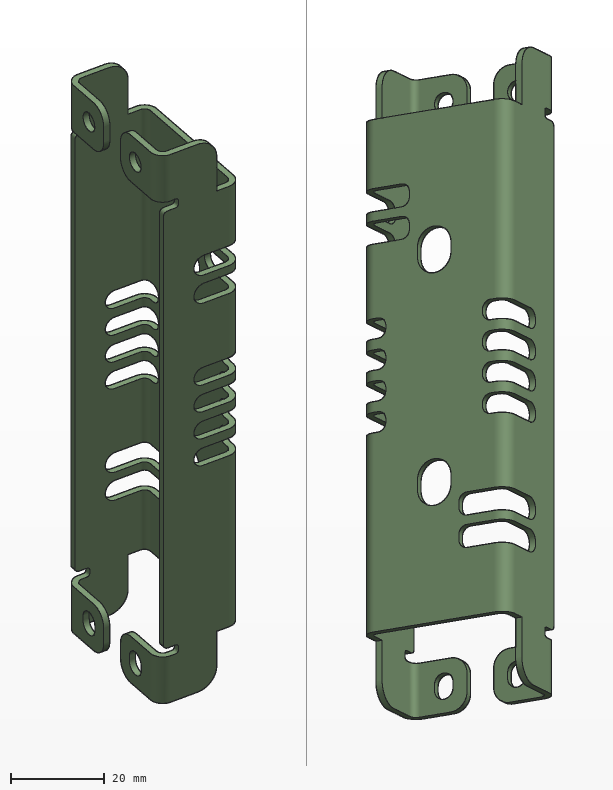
import cadquery as cq

length = 142.0
width = 36.0
depth = 21.2
sheet = 1.5
bend_radius = 3.1

tab_height = 12.0
tab_gap = 6.5
tab_corner = 4.0
hole_spacing = 18.0
hole_diameter = 4.5
end_slot_height = 5.8

back_length = 114.2
ear_step = 6.2
ear_corner = 5.0
relief_width = 2.3
relief_corner = 0.7
relief_depth = 5.1
lip_setback = 1.3
lip_corner = 1.1

window_width = 8.2
window_height = 10.4
window_spacing = 51.8

slot_depth_on_wall = 12.0
slot_corner = 2.0
short_slot_height = 4.5
short_slot_reach = 6.1
short_slot_pitch = 7.0
short_slot_count = 4
long_slot_height = 5.1
long_slot_reach = 11.9
long_slot_pitch = 7.2
long_slot_count = 2
long_slot_offset = 35.5

half_length = length / 2
half_width = width / 2
half_back = back_length / 2
tab_edge = half_length - tab_height
tab_centre = half_length - tab_height / 2
over = 1.4
margin = 0.1


def box(x_min, x_max, y_min, y_max, z_min, z_max):
    """Box given by its limits; the front of the part lies at Y = -depth."""
    block = cq.Workplane("XY").box(x_max - x_min, y_max - y_min, z_max - z_min, centered=False)
    return block.translate((x_min, y_min, z_min))


def edges_within(y_min, y_max, x_reach, z_reach):
    """Selector for edges in a region centred in X and Z."""
    low = (-x_reach - margin, y_min - margin, -z_reach - margin)
    high = (x_reach + margin, y_max + margin, z_reach + margin)
    return cq.selectors.BoxSelector(low, high)


def at_both_ends(cutter):
    """Cutter at the top end together with its mirror image at the bottom end."""
    return cutter.union(cutter.mirror("XY"))


def bent_tube():
    """Full-length rectangular tube with all four bends rounded."""
    outer = box(-half_width, half_width, -depth, 0, -half_length, half_length)
    outer = outer.edges("|Z").fillet(bend_radius)
    inner = box(sheet - half_width, half_width - sheet, sheet - depth, -sheet, -half_length, half_length)
    return outer.cut(inner.edges("|Z").fillet(bend_radius - sheet))


def open_channel():
    """U channel between the tabs, with straight walls up to its open edges."""
    edge = lip_setback - depth
    outer = box(-half_width, half_width, edge, 0, -tab_edge, tab_edge)
    outer = outer.edges("|Z and >Y").fillet(bend_radius)
    inner = box(sheet - half_width, half_width - sheet, edge, -sheet, -tab_edge, tab_edge)
    return outer.cut(inner.edges("|Z and >Y").fillet(bend_radius - sheet))


def tab_ends():
    """Both end stretches of the tube, split at the front into rounded tabs."""
    ends = bent_tube().cut(box(-half_width, half_width, -depth, 0, -tab_edge, tab_edge))
    half_gap = tab_gap / 2
    ends = ends.cut(box(-half_gap, half_gap, -depth, sheet - depth, -half_length, half_length))
    corners = edges_within(-depth, sheet - depth, half_gap, half_length)
    return ends.edges(corners).edges("|Y").fillet(tab_corner)


def side_outline():
    """Solid across the full width with the outline of the side walls."""
    body = box(-half_width, half_width, -depth, 0, -half_length, half_length)

    rear_step = box(-half_width, half_width, -ear_step, 0, half_back, half_length)
    body = body.cut(at_both_ends(rear_step))
    ear_edges = edges_within(-ear_step, -ear_step, half_width, half_length)
    body = body.edges(ear_edges).edges("|X").edges("<Z or >Z").fillet(ear_corner)

    channel_edge = tab_edge - relief_width
    lip = lip_setback - depth
    body = body.cut(box(-half_width, half_width, -depth, lip, -tab_edge, tab_edge))
    relief = box(-half_width, half_width, -depth - over, relief_depth - depth, channel_edge, tab_edge)
    relief = relief.edges("|X and >Y").fillet(relief_corner)
    body = body.cut(at_both_ends(relief))
    lip_edges = edges_within(lip, lip, half_width, channel_edge)
    return body.edges(lip_edges).edges("|X").fillet(lip_corner)


def obround(x, z, across, height, y_min, y_max):
    """Upright obround cutter running along Y."""
    cutter = cq.Workplane("XZ", origin=(x, y_max, z))
    if height > across:
        return cutter.slot2D(height, across, 90).extrude(y_max - y_min)
    return cutter.circle(across / 2).extrude(y_max - y_min)


def wrapped_slot(side, z, height, reach):
    """Slot around one back bend: rounded corners in the back, a round end in the wall."""
    radius = height / 2
    back = box(half_width - reach, half_width + over, -sheet, over, z - radius, z + radius)
    back = back.edges("|Y and <X").fillet(slot_corner)
    wall_end = slot_depth_on_wall - radius
    wall_inside = half_width - bend_radius
    wall = box(wall_inside, half_width + over, -wall_end, over, z - radius, z + radius)
    wall_round = cq.Workplane("YZ", origin=(wall_inside, -wall_end, z)).circle(radius)
    cutter = back.union(wall).union(wall_round.extrude(bend_radius + over))
    return cutter if side > 0 else cutter.mirror("YZ")


def slot_heights(count, pitch, middle):
    """Heights of evenly pitched slots centred on a middle height."""
    return [middle + (i - (count - 1) / 2) * pitch for i in range(count)]


result = open_channel().union(tab_ends()).intersect(side_outline())

for side in (-1, 1):
    hole_x = side * hole_spacing / 2
    result = result.cut(obround(hole_x, tab_centre, hole_diameter, hole_diameter, -depth, sheet - depth))
    result = result.cut(obround(hole_x, -tab_centre, hole_diameter, end_slot_height, -depth, sheet - depth))

    result = result.cut(obround(0, side * window_spacing / 2, window_width, window_height, -sheet, 0))

    for z in slot_heights(short_slot_count, short_slot_pitch, 0):
        result = result.cut(wrapped_slot(side, z, short_slot_height, short_slot_reach))
    for z in slot_heights(long_slot_count, long_slot_pitch, side * long_slot_offset):
        result = result.cut(wrapped_slot(side, z, long_slot_height, long_slot_reach))